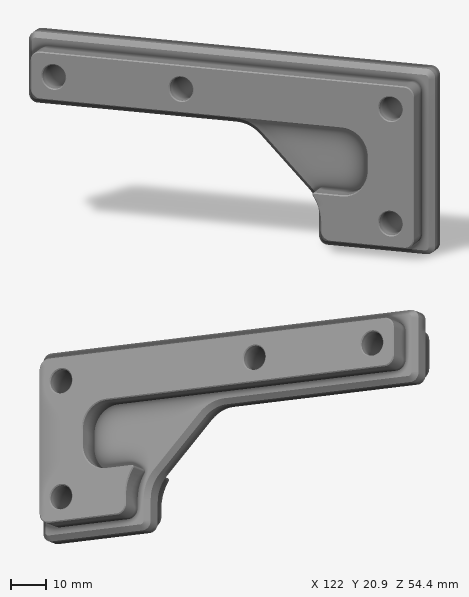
import cadquery as cq
import math

LENGTH = 122.0
HEIGHT = 54.4
ARM_HEIGHT = 20.9
FOOT_WIDTH = 34.9
BRACE_DROP = 20.6
BRACE_RADIUS = 10.0
PLATE_CORNER_RADIUS = 2.6

TOTAL_THICKNESS = 20.9
PLATE_THICKNESS = 7.0
PLATE_CHAMFER = 1.5

PAD_INSET = 3.4
PAD_CORNER_RADIUS = 2.9
PAD_CHAMFER = 0.3

RECESS_END_X = 104.6
RECESS_HEIGHT = 19.7
RECESS_RADIUS = 7.7
TIP_RADIUS = 0.6

HOLE_DIAMETER = 7.0
HOLE_INSET = ARM_HEIGHT / 2
MIDDLE_HOLE_X = 48.7

ARM_BOTTOM = HEIGHT - ARM_HEIGHT
FOOT_LEFT = LENGTH - FOOT_WIDTH
BRACE_START_X = FOOT_LEFT - BRACE_DROP
BRACE_END_Z = ARM_BOTTOM - BRACE_DROP
HALF_TURN_TANGENT = math.tan(math.radians(45 / 2))


def near_point(x, z):
    """Select the Y-direction edge that passes through (x, z)."""
    reach = 0.01
    return cq.selectors.BoxSelector(
        (x - reach, -LENGTH, z - reach), (x + reach, LENGTH, z + reach)
    )


def profile(inset, thickness, corner_radius):
    """Bracket outline shrunk by inset and extruded evenly about Y = 0."""
    brace_shift = inset * HALF_TURN_TANGENT
    left, right = inset, LENGTH - inset
    bottom, top = inset, HEIGHT - inset
    brace_top = (BRACE_START_X + brace_shift, ARM_BOTTOM + inset)
    brace_bottom = (FOOT_LEFT + inset, BRACE_END_Z + brace_shift)
    outer_corners = [
        (left, brace_top[1]),
        (left, top),
        (right, top),
        (right, bottom),
        (brace_bottom[0], bottom),
    ]
    body = (
        cq.Workplane("XZ")
        .polyline(outer_corners + [brace_bottom, brace_top])
        .close()
        .extrude(thickness / 2, both=True)
    )
    for corner in outer_corners:
        body = body.edges(near_point(*corner)).fillet(corner_radius)
    body = body.edges(near_point(*brace_top)).fillet(BRACE_RADIUS - inset)
    return body.edges(near_point(*brace_bottom)).fillet(BRACE_RADIUS + inset)


def drill(body):
    """Cut the four through holes; they sit centred in the arm and the foot."""
    far_x = LENGTH - HOLE_INSET
    upper_z = HEIGHT - HOLE_INSET
    centers = [
        (HOLE_INSET, upper_z),
        (MIDDLE_HOLE_X, upper_z),
        (far_x, upper_z),
        (far_x, HOLE_INSET),
    ]
    holes = (
        cq.Workplane("XZ")
        .pushPoints(centers)
        .circle(HOLE_DIAMETER / 2)
        .extrude(TOTAL_THICKNESS / 2, both=True)
    )
    return body.cut(holes)


def make_plate():
    """Central plate, chamfered all around on both faces."""
    plate = profile(0, PLATE_THICKNESS, PLATE_CORNER_RADIUS)
    return drill(plate.faces("<Y or >Y").edges().chamfer(PLATE_CHAMFER))


def make_pads():
    """Both pads as one body, running through the plate."""
    pads = profile(PAD_INSET, TOTAL_THICKNESS, PAD_CORNER_RADIUS)
    recess_top = ARM_BOTTOM + PAD_INSET
    recess_floor = recess_top - RECESS_HEIGHT
    recess = (
        cq.Workplane("XY")
        .box(RECESS_END_X, TOTAL_THICKNESS, RECESS_HEIGHT, centered=(False, True, False))
        .translate((0, 0, recess_floor))
        .edges("|Y and >X")
        .fillet(RECESS_RADIUS)
    )
    pads = pads.cut(recess)

    edge_radius = BRACE_RADIUS + PAD_INSET
    tangent_length = BRACE_RADIUS * HALF_TURN_TANGENT
    arc_center_x = FOOT_LEFT - BRACE_RADIUS
    arc_center_z = BRACE_END_Z - tangent_length
    tip_x = arc_center_x + math.sqrt(edge_radius**2 - (recess_floor - arc_center_z) ** 2)
    pads = pads.edges(near_point(tip_x, recess_floor)).fillet(TIP_RADIUS)

    return drill(pads).faces("<Y or >Y").edges().chamfer(PAD_CHAMFER)


result = make_plate().union(make_pads())